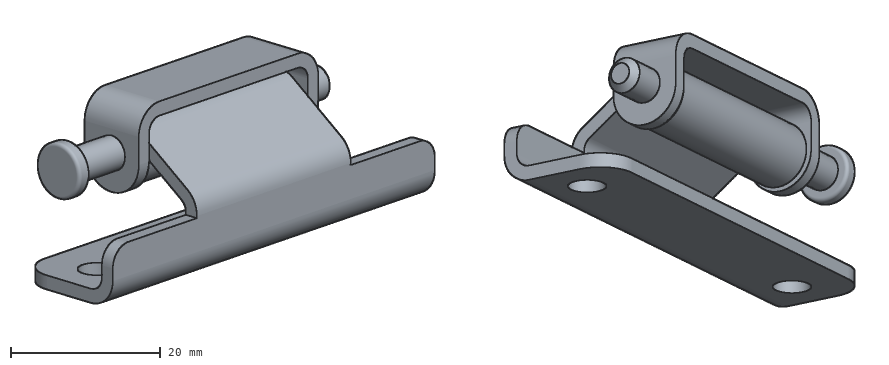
import cadquery as cq
import math

sheet = 2.0
bend_outer = 4.05
bend_inner = bend_outer - sheet
pin_radius = 2.45
pin_axis_z = 15.55
barrel_axis_z = 15.0

base_length = 63.0
base_front_x = -3.8
base_back_x = 13.3
base_corner_radius = 5.0
upright_top_z = 8.8
upright_corner_radius = 3.0
barrel_length = 30.1
barrel_radius = 4.55
arm_slope = math.radians(35)
hole_x = 4.3
hole_spacing = 50.0
hole_diameter = 5.15

bracket_width = 9.95
bracket_length = 35.1
bracket_top_z = 23.0

pin_tip_y = 23.5
pin_end_y = -28.1
pin_tip_chamfer = 1.0
head_radius = 4.0
head_length = 2.15
head_fillet = 0.5


def extrude_along_y(outline, length):
    """Extrude an XZ outline symmetrically about the middle of the part."""
    return outline.extrude(length / 2, both=True)


def cylinder_along_y(radius, axis_z, y_min, y_max):
    plane = cq.Plane(origin=(0, y_min, axis_z), xDir=(1, 0, 0), normal=(0, 1, 0))
    return cq.Workplane(plane).circle(radius).extrude(y_max - y_min)


def make_angle_plate():
    """L-shaped plate: flat base, bend and upright, with rounded corners."""
    width = base_back_x - base_front_x
    plate = cq.Workplane("XY").box(width, base_length, upright_top_z, centered=False)
    plate = plate.translate((base_front_x, -base_length / 2, 0))
    plate = plate.edges("|Y and >X and <Z").fillet(bend_outer)

    inside_width = width - sheet
    inside = cq.Workplane("XY").box(inside_width, base_length, upright_top_z, centered=False)
    inside = inside.translate((base_front_x, -base_length / 2, sheet))
    inside = inside.edges("|Y and >X and <Z").fillet(bend_inner)
    plate = plate.cut(inside)

    plate = plate.edges("|Z and <X").fillet(base_corner_radius)
    plate = plate.edges("|X and >Z").fillet(upright_corner_radius)

    hole_places = [(hole_x, -hole_spacing / 2), (hole_x, hole_spacing / 2)]
    holes = cq.Workplane("XY").pushPoints(hole_places).circle(hole_diameter / 2).extrude(sheet)
    return plate.cut(holes)


def make_arm():
    """Sloping sheet that rises from the upright and meets the barrel tangentially."""
    bend_x = base_back_x - bend_outer
    bend_rise = (barrel_radius - bend_outer) / math.cos(arm_slope)
    bend_z = barrel_axis_z + bend_rise - bend_x * math.tan(arm_slope)

    def bend_point(radius, angle):
        return (bend_x + radius * math.cos(angle), bend_z + radius * math.sin(angle))

    def barrel_point(radius):
        return (radius * math.sin(arm_slope), barrel_axis_z + radius * math.cos(arm_slope))

    slope_normal = math.pi / 2 - arm_slope
    foot_z = upright_top_z - sheet
    outline = (
        cq.Workplane("XZ")
        .moveTo(base_back_x, foot_z)
        .lineTo(*bend_point(bend_outer, 0))
        .threePointArc(bend_point(bend_outer, slope_normal / 2), bend_point(bend_outer, slope_normal))
        .lineTo(*barrel_point(barrel_radius))
        .lineTo(*barrel_point(barrel_radius - sheet))
        .lineTo(*bend_point(bend_inner, slope_normal))
        .threePointArc(bend_point(bend_inner, slope_normal / 2), bend_point(bend_inner, 0))
        .lineTo(base_back_x - sheet, foot_z)
        .close()
    )
    return extrude_along_y(outline, barrel_length)


def make_leaf():
    """Plate, arm and barrel in one piece; the pin bore sits slightly above the barrel axis."""
    barrel = cylinder_along_y(barrel_radius, barrel_axis_z, -barrel_length / 2, barrel_length / 2)
    bore = cylinder_along_y(pin_radius, pin_axis_z, -barrel_length / 2, barrel_length / 2)
    return make_angle_plate().union(make_arm()).union(barrel).cut(bore)


def make_bracket():
    """Sheet bent into a U over the barrel, with round-ended tabs bored for the pin."""
    tab_radius = bracket_width / 2
    tab_outline = (
        cq.Workplane("XZ")
        .moveTo(-tab_radius, bracket_top_z)
        .lineTo(-tab_radius, barrel_axis_z)
        .threePointArc((0, barrel_axis_z - tab_radius), (tab_radius, barrel_axis_z))
        .lineTo(tab_radius, bracket_top_z)
        .close()
    )
    bracket = extrude_along_y(tab_outline, bracket_length)
    bracket = bracket.edges("|X and >Z").fillet(bend_outer)

    inside_length = bracket_length - 2 * sheet
    inside_top_z = bracket_top_z - sheet
    inside = cq.Workplane("XY").box(bracket_width, inside_length, inside_top_z, centered=(True, True, False))
    inside = inside.edges("|X and >Z").fillet(bend_inner)
    bore = cylinder_along_y(pin_radius, pin_axis_z, -bracket_length / 2, bracket_length / 2)
    return bracket.cut(inside).cut(bore)


def make_pin():
    shank = cylinder_along_y(pin_radius, pin_axis_z, pin_end_y, pin_tip_y).faces(">Y").chamfer(pin_tip_chamfer)
    head = cylinder_along_y(head_radius, pin_axis_z, pin_end_y, pin_end_y + head_length)
    head = head.edges("%CIRCLE").fillet(head_fillet)
    return shank.union(head)


leaf = make_leaf().solids()
bracket = make_bracket().solids()
pin = make_pin().solids()

result = cq.Compound.makeCompound([leaf.val(), bracket.val(), pin.val()])